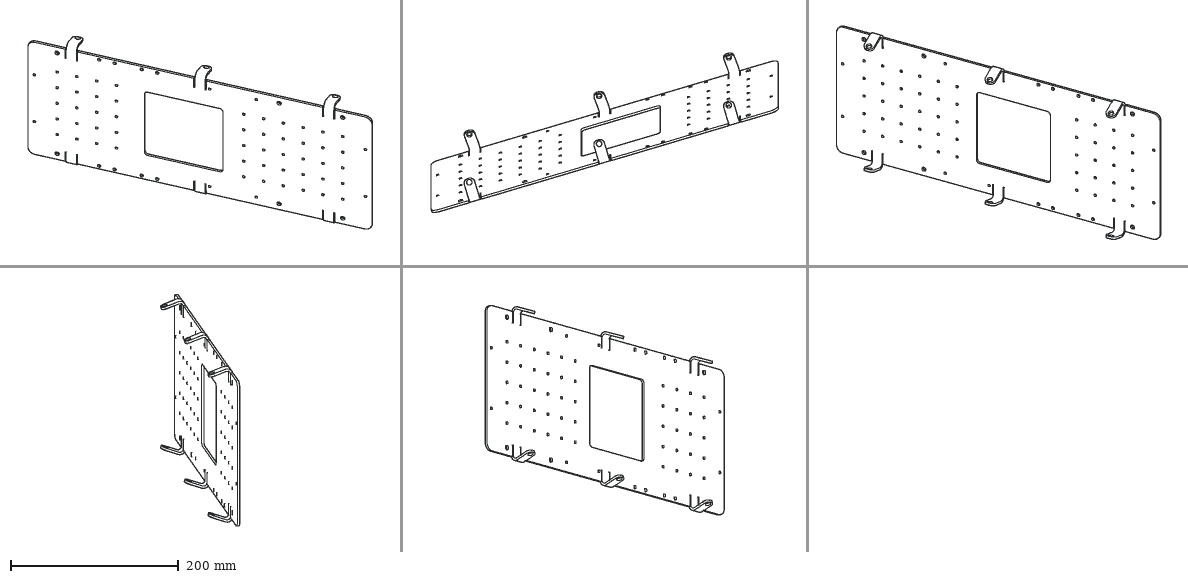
import cadquery as cq
import math

length = 434.0
height = 179.0
thickness = 3.0
corner_radius = 9.5

window_width = 99.0
window_height = 100.5
window_center_x = -20.5
window_corner_radius = 4.5

small_hole = 3.0
grid_edge_x = 180.0
grid_height = 100.0
grid_rows = 5
grid_pitch = grid_height / (grid_rows - 1)
left_columns = 4
right_columns = 6

side_hole_x = 208.8
side_hole_z = 37.5
inner_hole_xs = (12.0, 71.0)
inner_hole_z = 77.5

large_hole = 5.0
large_hole_xs = (-grid_edge_x, 100.0, grid_edge_x)
large_hole_z = 80.5
medium_hole = 4.0
medium_hole_xs = (-127.0, -107.5, -73.5, -54.0)
medium_hole_z = 84.5

overall_height = 189.2
overall_depth = 29.0
tab_xs = (-162.5, 0.0, 162.5)
tab_width = 13.0
tab_hole = 6.5
tab_hole_inset = 4.8
tab_corner_radius = 5.5
slit_width = 1.5
slit_depth = 14.5
bend_radius = 7.0
flap_slope = math.radians(20)


def drill(body, diameter, points):
    """Cut round holes at (x, z) points straight through the plate."""
    drills = (
        cq.Workplane("XZ")
        .pushPoints(points)
        .circle(diameter / 2)
        .extrude(-thickness)
    )
    return body.cut(drills)


def mirrored_rows(xs, z):
    """Points at each x, once above and once below the middle of the plate."""
    return [(x, side * z) for x in xs for side in (1, -1)]


def grid_points():
    left = [-grid_edge_x + i * grid_pitch for i in range(left_columns)]
    right = [grid_edge_x - i * grid_pitch for i in range(right_columns)]
    rows = [(j - (grid_rows - 1) / 2) * grid_pitch for j in range(grid_rows)]
    return [(x, z) for x in left + right for z in rows]


def plate():
    body = (
        cq.Workplane("XZ")
        .rect(length, height)
        .extrude(-thickness)
        .edges("|Y")
        .fillet(corner_radius)
    )
    window = (
        cq.Workplane("XZ")
        .center(window_center_x, 0)
        .rect(window_width, window_height)
        .extrude(-thickness)
        .edges("|Y")
        .fillet(window_corner_radius)
    )
    return body.cut(window)


def top_tab():
    """Tab at x = 0: strip between the slits, bend, and rounded flap with a hole."""
    root_z = height / 2 - slit_depth
    bend_y = bend_radius
    bend_z = overall_height / 2 - bend_radius
    inner_radius = bend_radius - thickness

    def on_bend(radius, angle):
        """Point on the bend; the angle runs from the front (0) over the top (90 degrees)."""
        return (bend_y - radius * math.cos(angle), bend_z + radius * math.sin(angle))

    bend_end = math.pi / 2 + flap_slope
    outer_end = on_bend(bend_radius, bend_end)
    curved = (
        cq.Workplane("YZ")
        .moveTo(0, root_z)
        .lineTo(0, bend_z)
        .threePointArc(on_bend(bend_radius, bend_end / 2), outer_end)
        .lineTo(*on_bend(inner_radius, bend_end))
        .threePointArc(on_bend(inner_radius, bend_end / 2), (thickness, bend_z))
        .lineTo(thickness, root_z)
        .close()
        .extrude(tab_width / 2, both=True)
    )

    flap_length = (overall_depth - outer_end[0]) / math.cos(flap_slope)
    flap_plane = cq.Plane(
        origin=(0, *outer_end),
        xDir=(1, 0, 0),
        normal=(0, math.sin(flap_slope), math.cos(flap_slope)),
    )
    flap = (
        cq.Workplane(flap_plane)
        .center(0, flap_length / 2)
        .rect(tab_width, flap_length)
        .extrude(-thickness)
        .edges(cq.selectors.ParallelDirSelector(flap_plane.zDir))
        .edges(">Y")
        .fillet(tab_corner_radius)
    )
    hole = (
        cq.Workplane(flap_plane)
        .center(0, flap_length - tab_hole_inset)
        .circle(tab_hole / 2)
        .extrude(-thickness)
    )
    return curved.union(flap).cut(hole)


def add_tabs(body):
    """Notch both long edges and set a tab into each notch, leaving the slits beside it."""
    top = top_tab()
    notch = cq.Workplane("XY").box(
        tab_width + 2 * slit_width, 2 * thickness, 2 * slit_depth
    )
    for tab in (top, top.mirror("XY")):
        edge_z = math.copysign(height / 2, tab.val().Center().z)
        for x in tab_xs:
            body = body.cut(notch.translate((x, thickness / 2, edge_z)))
            body = body.union(tab.translate((x, 0, 0)))
    return body


result = plate()
result = drill(result, small_hole, grid_points())
result = drill(result, small_hole, mirrored_rows((-side_hole_x, side_hole_x), side_hole_z))
result = drill(result, small_hole, mirrored_rows(inner_hole_xs, inner_hole_z))
result = drill(result, large_hole, mirrored_rows(large_hole_xs, large_hole_z))
result = drill(result, medium_hole, mirrored_rows(medium_hole_xs, medium_hole_z))
result = add_tabs(result)